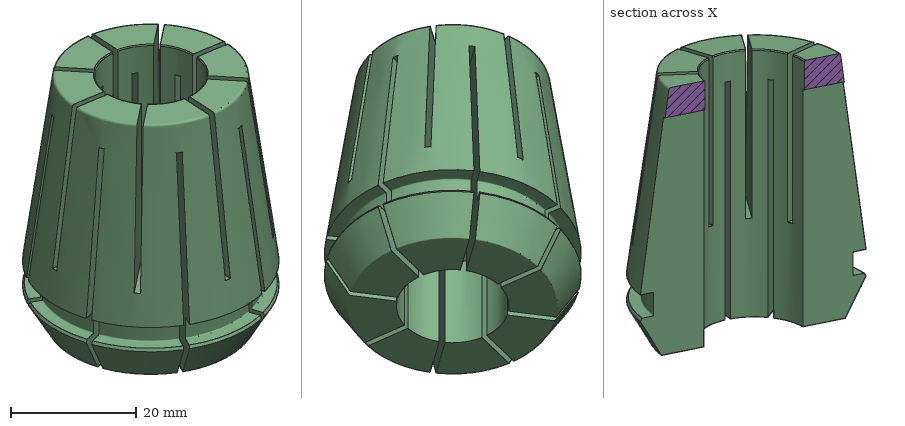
import cadquery as cq
import math

total_height = 46.0
outer_radius = 20.495
bore_radius = 18.0 / 2
bore_chamfer = 0.2

cone_angle = 8.0
cone_base_z = 11.15
top_fillet = 0.45

groove_radius = 18.12
groove_bottom_z = 7.1
groove_fillet = 0.2
nose_angle = 30.0
nose_rim_z = 6.6
flange_top_radius = 20.2
nose_fillet = 0.2

slots_per_end = 8
bottom_slot_width = 0.95
bottom_slot_end_z = 40.9
top_slot_width = 1.0
top_slot_end_z = 16.97
blade_overrun = 0.45


def revolved_body():
    """Solid of revolution: nose, groove, cone and central bore."""
    cone_rise = total_height - cone_base_z
    cone_top_radius = outer_radius - cone_rise * math.tan(math.radians(cone_angle))
    nose_bottom_radius = outer_radius - nose_rim_z * math.tan(math.radians(nose_angle))
    profile = [
        (bore_radius, 0),
        (nose_bottom_radius, 0),
        (outer_radius, nose_rim_z),
        (flange_top_radius, groove_bottom_z),
        (groove_radius, groove_bottom_z),
        (groove_radius, cone_base_z),
        (outer_radius, cone_base_z),
        (cone_top_radius, total_height),
        (bore_radius, total_height),
    ]
    body = cq.Workplane("XZ").polyline(profile).close().revolve(360, (0, 0, 0), (0, 1, 0))
    largest = cq.selectors.RadiusNthSelector(-1)
    smallest = cq.selectors.RadiusNthSelector(0)
    groove_corners = cq.selectors.BoxSelector(
        (-outer_radius, -outer_radius, groove_bottom_z - groove_fillet),
        (outer_radius, outer_radius, cone_base_z + groove_fillet),
    )
    body = body.edges(groove_corners).edges(smallest).fillet(groove_fillet)
    body = body.faces(">Z").edges(largest).fillet(top_fillet)
    body = body.faces("<Z").edges(largest).fillet(nose_fillet)
    return body.faces(">Z").edges(smallest).chamfer(bore_chamfer)


def slot_cutters(width, start_z, end_z, first_angle):
    """Ring of radial saw blades between two heights, evenly spaced around Z."""
    pitch = 360 / slots_per_end
    blade = cq.Workplane("XY").box(
        outer_radius + blade_overrun, width, end_z - start_z, centered=(False, True, False)
    ).translate((0, 0, start_z))
    cutters = cq.Workplane("XY")
    for i in range(slots_per_end):
        cutters = cutters.add(blade.rotate((0, 0, 0), (0, 0, 1), first_angle + i * pitch))
    return cutters.combine()


bottom_slots = slot_cutters(bottom_slot_width, 0, bottom_slot_end_z, 0)
top_slots = slot_cutters(top_slot_width, top_slot_end_z, total_height, 180 / slots_per_end)

result = revolved_body().cut(bottom_slots).cut(top_slots)